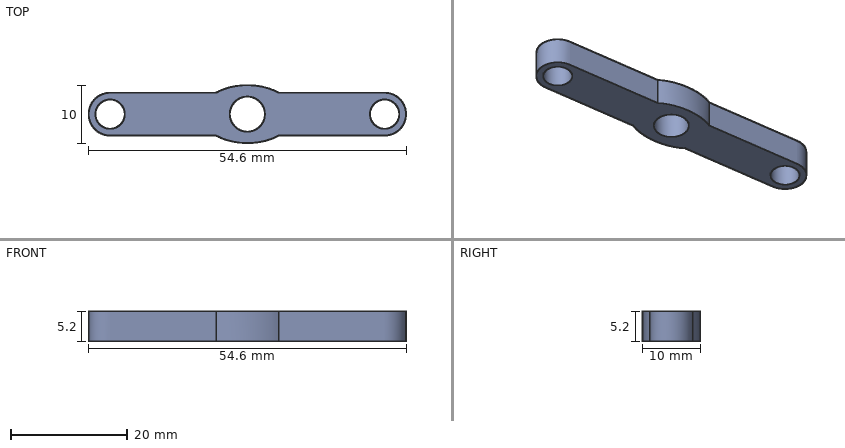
import cadquery as cq

length = 54.6
thickness = 5.2
arm_width = 7.4

hub_length = 16.0
hub_width = 10.0

hub_hole_diameter = 6.0
end_hole_diameter = 5.0
end_hole_spacing = length - arm_width


def arm():
    """Straight bar with full-round ends."""
    return cq.Workplane("XY").slot2D(length, arm_width).extrude(thickness)


def hub():
    """Elliptical boss that bulges past both long sides of the arm."""
    return cq.Workplane("XY").ellipse(hub_length / 2, hub_width / 2).extrude(thickness)


def hole(x, diameter):
    """Cutter for a vertical through hole on the bar's centre line."""
    return cq.Workplane("XY").center(x, 0).circle(diameter / 2).extrude(thickness)


result = arm().union(hub())
result = result.cut(hole(0, hub_hole_diameter))
for side in (-1, 1):
    result = result.cut(hole(side * end_hole_spacing / 2, end_hole_diameter))